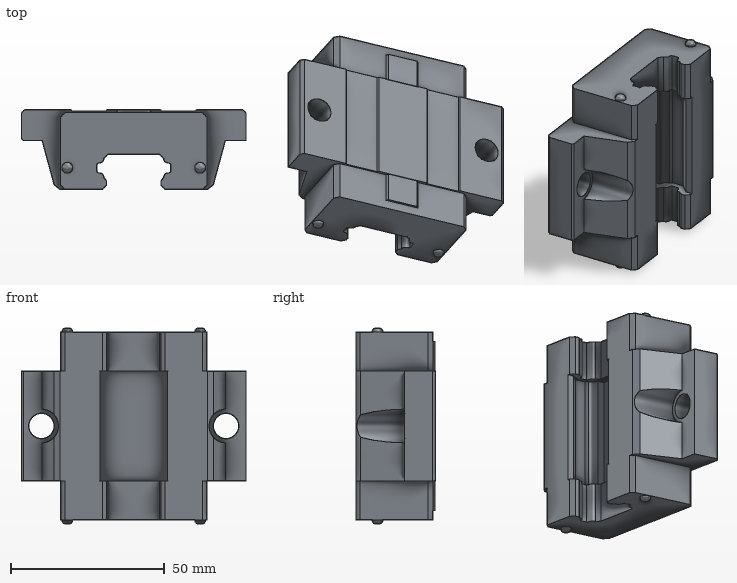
import cadquery as cq
import math


flange_width = 73.0
height = 26.0
block_length = 35.7
cap_length = 12.65
bottom = -height / 2
top = height / 2
half_flange = flange_width / 2
half_block = block_length / 2
half_body = half_block + cap_length

flange_bottom = bottom + 15.9
flange_top_chamfer = 1.1
flange_bottom_chamfer = 0.6
skirt_top_half_width = 29.8
skirt_bottom_half_width = 25.9
skirt_bottom_height = 1.6
bottom_half_width = 24.0

relief_depth = 0.45
relief_outer = 20.5
relief_inner = 8.6

block_lip_half_width = 11.0
block_lip_top = bottom + 2.25
block_ceiling = bottom + 14.55
groove_radius = 2.2
groove_center = bottom + 9.9
groove_outer = block_lip_half_width + groove_radius
groove_chamfer = 0.75
block_wall_half_width = groove_outer + groove_chamfer
block_wall_bottom = block_lip_top + block_wall_half_width - block_lip_half_width

hole_spacing = 60.0
hole_diameter = 8.2
scoop_diameter = 11.0

cap_half_width = 23.75
cap_top = top - 0.95
cap_top_chamfer = 1.5
cap_bottom_chamfer = 1.4

cap_ceiling = bottom + 11.4
cap_ceiling_half_width = 8.4
cap_ceiling_chamfer = 1.3
cap_shoulder_half_width = cap_ceiling_half_width + cap_ceiling_chamfer
cap_shoulder_radius = 1.5
cap_corner_run = 0.75
cap_corner_radius = 1.0
cap_corner_drop = cap_corner_radius - math.sqrt(cap_corner_radius**2 - cap_corner_run**2)
cap_lip_half_width = 8.85
cap_lip_top = bottom + 2.8
cap_lip_chamfer = 1.35
cap_groove_center = bottom + 7.0

pad_half_width = 5.15
pad_base_half_width = 5.75
pad_top = top - 0.2
pad_half_length = half_body - 2.95

screw_spacing = 43.2
screw_height = bottom + 7.05
screw_head_radius = 1.77
screw_head_rise = 1.35
screw_head_fillet = 1.3


def mirrored(right_side):
    """Complete a symmetric outline from the points of its right half."""
    return right_side + [(-x, y) for x, y in reversed(right_side)]


def steel_block():
    """Flanged block with tapered skirts; only the left flange has a bottom chamfer."""
    right_side = [
        (relief_inner, top),
        (relief_inner + relief_depth, top - relief_depth),
        (relief_outer - relief_depth, top - relief_depth),
        (relief_outer, top),
        (half_flange - flange_top_chamfer, top),
        (half_flange, top - flange_top_chamfer),
        (half_flange, flange_bottom),
        (skirt_top_half_width, flange_bottom),
        (skirt_bottom_half_width, bottom + skirt_bottom_height),
        (bottom_half_width, bottom),
    ]
    block = (
        cq.Workplane("XY")
        .workplane(offset=-half_block)
        .polyline(mirrored(right_side))
        .close()
        .extrude(block_length)
    )
    left_corner = cq.selectors.NearestToPointSelector((-half_flange, flange_bottom, 0))
    return block.edges("|Z").edges(left_corner).chamfer(flange_bottom_chamfer)


def block_channel():
    """Channel of the block, built as its right half and mirrored across the middle plane."""
    groove_top = groove_center + groove_radius
    half_chord = groove_radius * math.sqrt(0.5)
    half = (
        cq.Workplane("XY", origin=(0, 0, -half_block))
        .moveTo(0, block_ceiling)
        .lineTo(block_lip_half_width, block_ceiling)
        .lineTo(block_lip_half_width, groove_top)
        .threePointArc(
            (block_lip_half_width + half_chord, groove_center + half_chord),
            (groove_outer, groove_center),
        )
        .lineTo(block_wall_half_width, groove_center - groove_chamfer)
        .lineTo(block_wall_half_width, block_wall_bottom)
        .lineTo(block_lip_half_width, block_lip_top)
        .lineTo(block_lip_half_width, bottom)
        .lineTo(0, bottom)
        .close()
        .extrude(block_length)
    )
    return half.union(half.mirror("YZ"))


def mounting_cuts():
    """Through holes in the flanges and the screw head scoops below them."""
    centers = [(-hole_spacing / 2, 0), (hole_spacing / 2, 0)]
    holes = (
        cq.Workplane("XZ", origin=(0, top, 0))
        .pushPoints(centers)
        .circle(hole_diameter / 2)
        .extrude(height)
    )
    scoops = (
        cq.Workplane("XZ", origin=(0, flange_bottom, 0))
        .pushPoints(centers)
        .circle(scoop_diameter / 2)
        .extrude(flange_bottom - bottom)
    )
    return holes.union(scoops)


def cap_channel():
    """Channel of the upper cap, built as its right half and mirrored across the middle plane."""
    shoulder_upper = cap_ceiling - cap_ceiling_chamfer
    shoulder_lower = 2 * cap_groove_center - shoulder_upper
    groove_upper = shoulder_upper - cap_shoulder_radius
    groove_lower = shoulder_lower + cap_shoulder_radius
    shoulder_end = cap_shoulder_half_width + cap_shoulder_radius
    wall = shoulder_end + cap_corner_run
    half = (
        cq.Workplane("XY", origin=(0, 0, half_block))
        .moveTo(0, cap_ceiling)
        .lineTo(cap_ceiling_half_width, cap_ceiling)
        .lineTo(cap_shoulder_half_width, shoulder_upper)
        .radiusArc((shoulder_end, groove_upper), -cap_shoulder_radius)
        .radiusArc((wall, groove_upper - cap_corner_drop), cap_corner_radius)
        .lineTo(wall, groove_lower + cap_corner_drop)
        .radiusArc((shoulder_end, groove_lower), cap_corner_radius)
        .radiusArc((cap_shoulder_half_width, shoulder_lower), -cap_shoulder_radius)
        .lineTo(cap_lip_half_width, cap_lip_top)
        .lineTo(cap_lip_half_width, bottom + cap_lip_chamfer)
        .lineTo(cap_lip_half_width + cap_lip_chamfer, bottom)
        .lineTo(0, bottom)
        .close()
        .extrude(cap_length)
    )
    return half.union(half.mirror("YZ"))


def end_cap():
    """Upper end cap with its cover pad and rail channel."""
    plane = cq.Workplane("XY").workplane(offset=half_block)
    cap_side = [
        (cap_half_width - cap_top_chamfer, cap_top),
        (cap_half_width, cap_top - cap_top_chamfer),
        (cap_half_width, bottom + cap_bottom_chamfer),
        (cap_half_width - cap_bottom_chamfer, bottom),
    ]
    cap = plane.polyline(mirrored(cap_side)).close().extrude(cap_length)
    pad_side = [(pad_half_width, pad_top), (pad_base_half_width, cap_top)]
    pad = plane.polyline(mirrored(pad_side)).close().extrude(pad_half_length - half_block)
    return cap.union(pad).cut(cap_channel())


def screw_head(x):
    """Round head on the outer face of the cap, with a small flat crown."""
    return (
        cq.Workplane("XY", origin=(x, screw_height, half_body))
        .circle(screw_head_radius)
        .extrude(screw_head_rise)
        .faces(">Z")
        .edges()
        .fillet(screw_head_fillet)
    )


def cap_with_screws():
    """Upper end cap with its two screw heads."""
    cap = end_cap()
    for x in (-screw_spacing / 2, screw_spacing / 2):
        cap = cap.union(screw_head(x))
    return cap


upper_cap = cap_with_screws()
lower_cap = upper_cap.mirror("XY")
block = steel_block().cut(block_channel()).cut(mounting_cuts())
result = block.union(upper_cap).union(lower_cap)